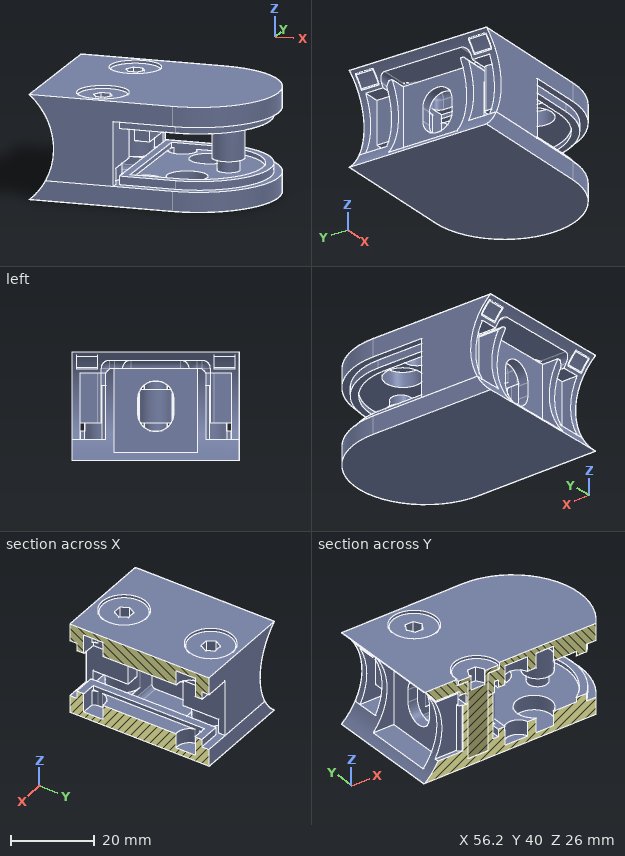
import cadquery as cq

length = 56.15
width = 40.0
height = 26.0
mid_z = height / 2

plate = 5.0
plate_underside = height - plate
nose_radius = width / 2
nose_x = length - nose_radius
seat_radius = 16.85
seat_axis_x = -((seat_radius**2 - mid_z**2) ** 0.5)
seat_seam_turn = 180

rim_inset = 2.0
rim_width = 2.0
rim_height = 2.15
rim_start_x = 22.05
recess_depth = 1.25

large_hollow_radius = 5.0
large_hollow_x = 36.05
large_hollow_y = 8.7
small_hollow_radius = 3.5
small_hollow_x = 27.5
small_hollow_y = 14.0
hollow_floor = 1.8

post_half = 11.95
post_top = 22.05
post_chamfer = 1.05
panel_front = 8.15
panel_back = 10.95
pocket_half = 9.95
pocket_floor = 1.95
slot_width = 8.55
slot_height = 12.05

screw_x = 16.1
screw_y = 12.45
boss_radius = 4.55
boss_top = 17.9
bore_radius = 6.3
head_radius = 6.0
head_sink = 0.7
head_height = 1.1
head_top = height - head_sink
head_bottom = head_top - head_height
shank_radius = 3.0
shank_end = 2.25
hex_flats = 4.05
hex_depth = 3.95
hex_turn = 30

shoulder_half = 12.85
shoulder_front = 10.45
shoulder_radius = shoulder_half - post_half
channel_half = screw_y - boss_radius
channel_radius = 1.0

block_back = 21.15
side_wall = 1.95
inner_half = width / 2 - side_wall
window_back = 8.7
block_bottom = 9.0
fit_clearance = 0.15
cavity_half = shoulder_half + fit_clearance
cavity_front = -2.8
cavity_back = 12.45
cavity_top = 23.95
cavity_wall_radius = 1.95
cavity_ceiling_radius = cavity_top - post_top
neck_back = 19.2
neck_opening_top = 19.35
block_corner_radius = 0.9
tolerance = 0.05

label_width = 5.05
label_y = 16.45
label_low = 21.85
label_high = 24.9
label_depth = 0.4

pin_x = 43.6
pin_radius = 2.75
sleeve_radius = 4.0
sleeve_height = 8.1

sides = (-1, 1)


def box(x0, x1, half_y, z0, z1):
    """Box between two X and two Z values, centred on Y."""
    block = cq.Workplane("XY").box(x1 - x0, 2 * half_y, z1 - z0, centered=(False, True, False))
    return block.translate((x0, 0, z0))


def cylinder(x, y, radius, z0, z1):
    """Upright cylinder between two Z values."""
    return cq.Workplane("XY", origin=(x, y, z0)).circle(radius).extrude(z1 - z0)


def d_shape(start_x, inset, z0, z1):
    """Plate with a round nose, inset from the outline of the jaw."""
    half = nose_radius - inset
    return (
        cq.Workplane("XY", origin=(0, 0, z0))
        .moveTo(start_x, -half)
        .lineTo(nose_x, -half)
        .threePointArc((nose_x + half, 0), (nose_x, half))
        .lineTo(start_x, half)
        .close()
        .extrude(z1 - z0)
    )


def seat(lift=0.0):
    """Cylinder of the round post along Y, turned so that its seam stays clear of the jaws."""
    return (
        cq.Workplane("XZ", origin=(0, width / 2, 0))
        .center(seat_axis_x, mid_z + lift)
        .transformed(rotate=(0, 0, seat_seam_turn))
        .circle(seat_radius)
        .extrude(width)
    )


def seat_x(z):
    """X of the seat surface at a given height."""
    return seat_axis_x + (seat_radius**2 - (z - mid_z) ** 2) ** 0.5


def jaw():
    """Lower jaw plate with its rim, recess, hollows and pin socket."""
    rim_top = plate + rim_height
    recess_floor = rim_top - recess_depth
    recess_inset = rim_inset + rim_width
    recess_start = rim_start_x + rim_width
    body = d_shape(0, 0, 0, plate).union(d_shape(rim_start_x, rim_inset, plate, rim_top))
    body = body.cut(d_shape(recess_start, recess_inset, recess_floor, rim_top))
    inside_rim = d_shape(recess_start, recess_inset, hollow_floor, rim_top)
    for side in sides:
        large = cylinder(large_hollow_x, side * large_hollow_y, large_hollow_radius, hollow_floor, rim_top)
        small = cylinder(small_hollow_x, side * small_hollow_y, small_hollow_radius, hollow_floor, rim_top)
        body = body.cut(large).cut(small.intersect(inside_rim))
    return body.cut(cylinder(pin_x, 0, pin_radius, plate, rim_top))


def make_post():
    """Central post, with shoulders behind it that run into the two screw bosses."""
    front = box(0, panel_back, post_half, plate, post_top).edges("|X and >Z").chamfer(post_chamfer)
    shoulders = (
        box(shoulder_front, screw_x, shoulder_half, plate, boss_top)
        .edges("|Z and <X").fillet(shoulder_radius)
    )
    post = front.union(shoulders)
    for side in sides:
        post = post.union(cylinder(screw_x, side * screw_y, boss_radius, plate, boss_top))
    return post


def make_base():
    pocket = box(0, panel_front, pocket_half, pocket_floor, height)
    channel = (
        box(panel_back, block_back, channel_half, pocket_floor, height)
        .edges("|X and <Z").fillet(channel_radius)
    )
    slot = cq.Workplane("YZ", origin=(0, 0, mid_z)).slot2D(slot_height, slot_width, 90).extrude(screw_x)
    body = jaw().union(make_post()).cut(pocket).cut(channel).cut(slot)
    for side in sides:
        body = body.cut(cylinder(screw_x, side * screw_y, shank_radius, shank_end, boss_top))
    return body.cut(seat())


def make_cavity():
    """Space inside the cover for the post, the shoulders and the screw bosses of the base."""
    cavity = (
        box(cavity_front, cavity_back, cavity_half, plate, cavity_top)
        .union(box(cavity_back, neck_back, channel_half, plate, cavity_top))
        .edges("|Z").fillet(cavity_wall_radius)
        .faces(">Z").edges().fillet(cavity_ceiling_radius)
        .union(box(0, cavity_back, cavity_half, plate, plate_underside))
        .union(box(cavity_back, block_back, channel_half, plate, neck_opening_top))
        .union(box(window_back, screw_x, cavity_half, plate, boss_top))
    )
    for side in sides:
        clearance_bore = cylinder(screw_x, side * screw_y, boss_radius + fit_clearance, plate, boss_top)
        cavity = cavity.union(clearance_bore)
    return cavity


def make_label_recess(side):
    label = box(seat_x(label_high), seat_x(label_low), label_width / 2, mid_z, height)
    return label.translate((0, side * label_y, 0)).intersect(seat(label_depth))


def round_block_corners(body):
    """Round the upright edges where the block face meets the cavity walls."""
    near = (window_back - tolerance, -cavity_half - tolerance, block_bottom - tolerance)
    far = (window_back + tolerance, cavity_half + tolerance, plate_underside + tolerance)
    corners = body.edges(cq.selectors.BoxSelector(near, far)).edges("|Z")
    return corners.fillet(block_corner_radius)


def make_cover():
    upper_jaw = jaw().mirror("XY").translate((0, 0, height))
    block = box(0, block_back, width / 2, plate, plate_underside)
    windows = box(0, window_back, inner_half, plate, plate_underside)
    underside = box(window_back, block_back, inner_half, plate, block_bottom)
    body = upper_jaw.union(block).cut(windows).cut(underside).cut(make_cavity())
    body = round_block_corners(body)
    for side in sides:
        body = body.cut(cylinder(screw_x, side * screw_y, bore_radius, head_bottom, height))
        body = body.cut(cylinder(screw_x, side * screw_y, shank_radius, boss_top, height))
        body = body.cut(make_label_recess(side))
    return body.cut(seat())


def make_screw(side):
    socket = (
        cq.Workplane("XY", origin=(screw_x, side * screw_y, head_top - hex_depth))
        .transformed(rotate=(0, 0, hex_turn))
        .polygon(6, hex_flats, circumscribed=True)
        .extrude(hex_depth)
    )
    return (
        cylinder(screw_x, side * screw_y, shank_radius, shank_end, head_top)
        .union(cylinder(screw_x, side * screw_y, head_radius, head_bottom, head_top))
        .cut(socket)
    )


def make_sleeve():
    low = mid_z - sleeve_height / 2
    high = mid_z + sleeve_height / 2
    return cylinder(pin_x, 0, sleeve_radius, low, high).cut(cylinder(pin_x, 0, pin_radius, low, high))


base = make_base()
cover = make_cover()
screws = [make_screw(side).val() for side in sides]
pin = cylinder(pin_x, 0, pin_radius, plate, plate_underside)
sleeve = make_sleeve()

result = cq.Compound.makeCompound([base.val(), cover.val(), *screws, pin.val(), sleeve.val()])